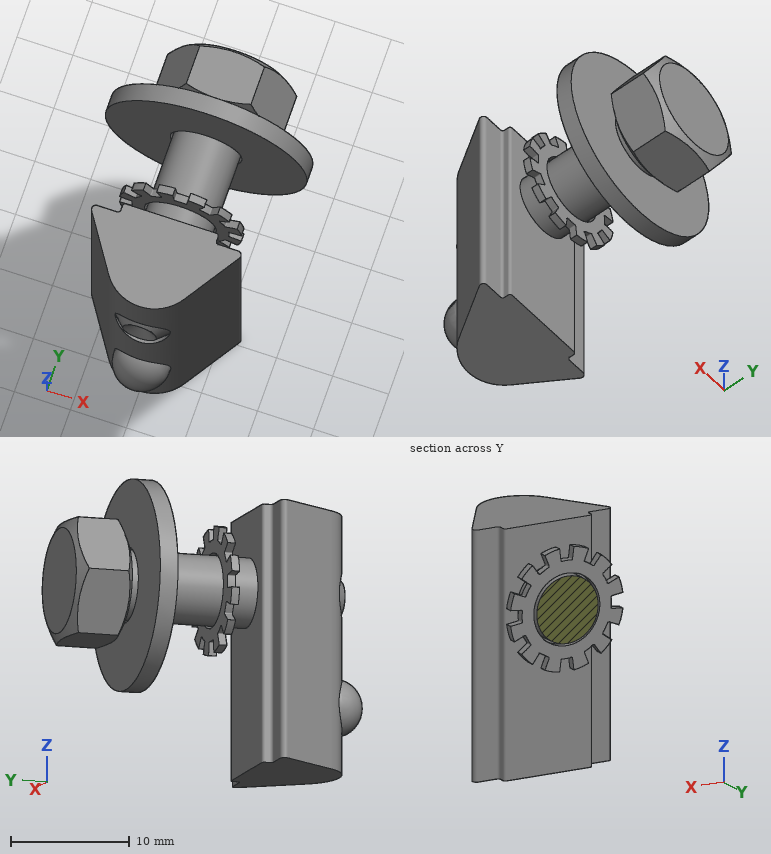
import cadquery as cq
import math


NUT_DEPTH = 8.28
NUT_TOP_Z = 6.88
NUT_BOTTOM_Z = -15.38
NOSE_RADIUS = 4.0
FLANK_ANGLE = 33
LEDGE_DEPTH = 0.9
BOSS_WIDTH = 8.55
BOSS_ROUND = 0.25
LEDGE_ROUND = 0.38
NUT_HOLE_DIAMETER = 4.92

BOLT_DIAMETER = 6.0
HEAD_UNDERSIDE_Y = 11.7
HEAD_HEIGHT = 5.0
HEAD_FLATS = 10.0
HEAD_FACE_DIAMETER = 9.0
HEAD_CHAMFER_ANGLE = 30
TIP_DIAMETER = 3.0
TIP_CHAMFER = (BOLT_DIAMETER - TIP_DIAMETER) / 2
TIP_CONE_ANGLE = 120

WASHER_HOLE_DIAMETER = 6.4
WASHER_DIAMETER = 18
WASHER_THICKNESS = 1.59
WASHER_FRONT_Y = 9.15
LOCK_WASHER_DIAMETER = 10.97
LOCK_WASHER_THICKNESS = 0.7
LOCK_WASHER_FRONT_Y = 2.45
TOOTH_COUNT = 12
TOOTH_ROOT_DIAMETER = 8.65
GAP_ANGLE = 14.5
GAP_ROUND = 0.1

PIN_DIAMETER = 5.0
PIN_PROTRUSION = 1.9
PIN_LENGTH = PIN_DIAMETER
PIN_Z = -9.4


def y_cylinder(diameter, front_y, length):
    """Cylinder on the bolt axis from front_y towards +Y."""
    return cq.Workplane("XZ", origin=(0, front_y, 0)).circle(diameter / 2).extrude(-length)


def y_revolve(profile):
    """Turn a profile of (radius, y) coordinates a full turn about the Y axis."""
    return profile.close().revolve(360, (0, 0, 0), (0, 1, 0))


def make_bolt_head():
    corner_diameter = HEAD_FLATS / math.cos(math.radians(30))
    corner_radius = corner_diameter / 2
    face_radius = HEAD_FACE_DIAMETER / 2
    chamfer = (corner_radius - face_radius) * math.tan(math.radians(HEAD_CHAMFER_ANGLE))
    top_y = HEAD_UNDERSIDE_Y + HEAD_HEIGHT

    hexagon = (
        cq.Workplane("XZ", origin=(0, HEAD_UNDERSIDE_Y, 0))
        .polygon(6, corner_diameter)
        .extrude(-HEAD_HEIGHT)
    )
    chamfered_blank = y_revolve(
        cq.Workplane("XY")
        .moveTo(0, HEAD_UNDERSIDE_Y)
        .lineTo(face_radius, HEAD_UNDERSIDE_Y)
        .lineTo(corner_radius, HEAD_UNDERSIDE_Y + chamfer)
        .lineTo(corner_radius, top_y - chamfer)
        .lineTo(face_radius, top_y)
        .lineTo(0, top_y)
    )
    return hexagon.intersect(chamfered_blank)


def make_bolt_shank(hollow_depth):
    """Shank with a chamfered tip; a conical hollow of the given depth is sunk into the tip."""
    return y_revolve(
        cq.Workplane("XY")
        .moveTo(0, HEAD_UNDERSIDE_Y)
        .lineTo(BOLT_DIAMETER / 2, HEAD_UNDERSIDE_Y)
        .lineTo(BOLT_DIAMETER / 2, -NUT_DEPTH + TIP_CHAMFER)
        .lineTo(TIP_DIAMETER / 2, -NUT_DEPTH)
        .lineTo(0, -NUT_DEPTH + hollow_depth)
    )


def make_bolt():
    hollow_depth = TIP_DIAMETER / 2 / math.tan(math.radians(TIP_CONE_ANGLE / 2))
    return make_bolt_head().union(make_bolt_shank(hollow_depth))


def make_washer():
    disc = y_cylinder(WASHER_DIAMETER, WASHER_FRONT_Y, WASHER_THICKNESS)
    return disc.cut(y_cylinder(WASHER_HOLE_DIAMETER, WASHER_FRONT_Y, WASHER_THICKNESS))


def make_tooth_gap():
    """Cutter for the gap on the +X side, with radial walls and a floor on the root circle."""
    half_angle = math.radians(GAP_ANGLE / 2)
    root_radius = TOOTH_ROOT_DIAMETER / 2
    cutter_radius = LOCK_WASHER_DIAMETER

    def point(radius, angle):
        return (radius * math.cos(angle), radius * math.sin(angle))

    return (
        cq.Workplane("XZ", origin=(0, LOCK_WASHER_FRONT_Y, 0))
        .moveTo(*point(root_radius, -half_angle))
        .lineTo(*point(cutter_radius, -half_angle))
        .lineTo(*point(cutter_radius, half_angle))
        .lineTo(*point(root_radius, half_angle))
        .threePointArc((root_radius, 0), point(root_radius, -half_angle))
        .close()
        .extrude(-LOCK_WASHER_THICKNESS)
        .edges("|Y and <X")
        .fillet(GAP_ROUND)
    )


def make_lock_washer():
    lock_washer = y_cylinder(LOCK_WASHER_DIAMETER, LOCK_WASHER_FRONT_Y, LOCK_WASHER_THICKNESS)
    lock_washer = lock_washer.cut(
        y_cylinder(WASHER_HOLE_DIAMETER, LOCK_WASHER_FRONT_Y, LOCK_WASHER_THICKNESS)
    )
    gap = make_tooth_gap()
    for i in range(TOOTH_COUNT):
        lock_washer = lock_washer.cut(gap.rotate((0, 0, 0), (0, 1, 0), i * 360 / TOOTH_COUNT))
    return lock_washer


def make_pin():
    nose_center_y = -NUT_DEPTH - PIN_PROTRUSION + PIN_DIAMETER / 2
    shank_length = PIN_LENGTH - PIN_DIAMETER / 2
    nose = cq.Workplane("XY", origin=(0, nose_center_y, 0)).sphere(PIN_DIAMETER / 2)
    pin = y_cylinder(PIN_DIAMETER, nose_center_y, shank_length).union(nose)
    return pin.translate((0, 0, PIN_Z))


def make_nut_bar():
    """Nut without holes: a boss and ledges at the back, flanks tangent to the round nose."""
    flank = math.radians(FLANK_ANGLE)
    nose_center_y = NOSE_RADIUS - NUT_DEPTH
    flank_end_x = NOSE_RADIUS * math.cos(flank)
    flank_end_y = nose_center_y - NOSE_RADIUS * math.sin(flank)
    ledge_x = flank_end_x + (-LEDGE_DEPTH - flank_end_y) * math.tan(flank)
    boss_x = BOSS_WIDTH / 2

    bar = (
        cq.Workplane("XY", origin=(0, 0, NUT_BOTTOM_Z))
        .moveTo(-boss_x, 0)
        .lineTo(boss_x, 0)
        .lineTo(boss_x, -LEDGE_DEPTH)
        .lineTo(ledge_x, -LEDGE_DEPTH)
        .lineTo(flank_end_x, flank_end_y)
        .threePointArc((0, -NUT_DEPTH), (-flank_end_x, flank_end_y))
        .lineTo(-ledge_x, -LEDGE_DEPTH)
        .lineTo(-boss_x, -LEDGE_DEPTH)
        .close()
        .extrude(NUT_TOP_Z - NUT_BOTTOM_Z)
    )
    bar = bar.edges("|Z and (<X or >X)").fillet(LEDGE_ROUND)
    mid_z = (NUT_TOP_Z + NUT_BOTTOM_Z) / 2
    for side in (-1, 1):
        for edge_y in (0, -LEDGE_DEPTH):
            edge = cq.selectors.NearestToPointSelector((side * boss_x, edge_y, mid_z))
            bar = bar.edges("|Z").edges(edge).fillet(BOSS_ROUND)
    return bar


def make_nut(pin):
    hole_mouth = y_cylinder(NUT_HOLE_DIAMETER, -NUT_DEPTH, NUT_DEPTH)
    bolt_seat = make_bolt_shank(hollow_depth=0)
    return make_nut_bar().cut(hole_mouth).cut(bolt_seat).cut(pin)


bolt = make_bolt()
washer = make_washer()
lock_washer = make_lock_washer()
pin = make_pin()
nut = make_nut(pin)

result = cq.Compound.makeCompound(
    [bolt.val(), washer.val(), lock_washer.val(), nut.val(), pin.val()]
)